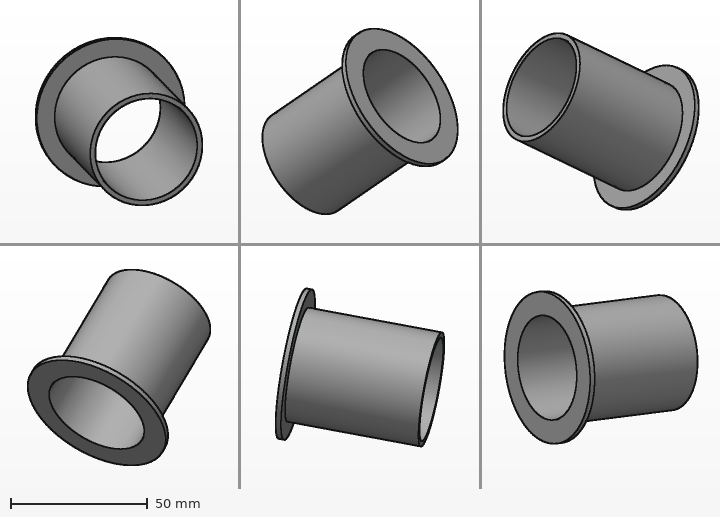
import cadquery as cq

flange_diameter = 56.0
flange_thickness = 2.0
sleeve_diameter = 42.5
bore_diameter = 38.5
total_length = 52.0

sleeve = cq.Workplane("YZ").circle(sleeve_diameter / 2).extrude(total_length)
flange = cq.Workplane("YZ").circle(flange_diameter / 2).extrude(flange_thickness)
bore = cq.Workplane("YZ").circle(bore_diameter / 2).extrude(total_length)

result = sleeve.union(flange).cut(bore)